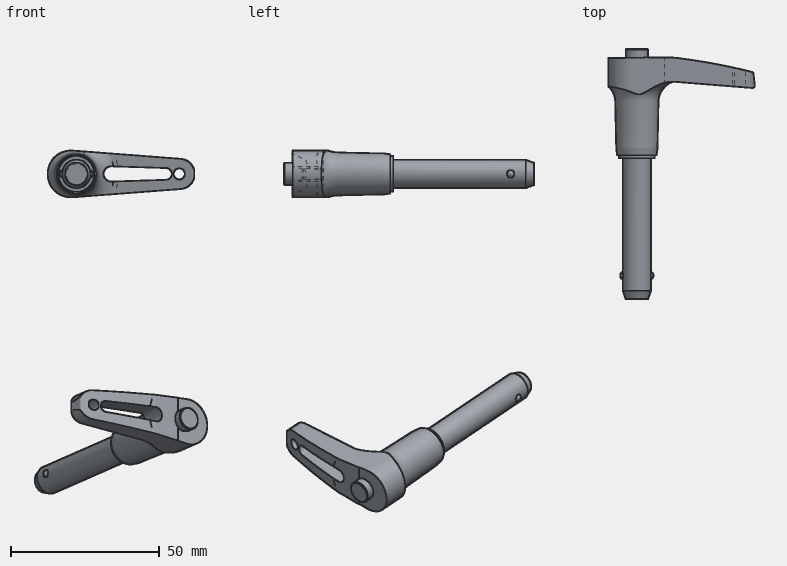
import cadquery as cq
import math

total_length = 84.2
shank_radius = 4.8
tip_radius = 3.8
tip_length = 2.9

collar_bottom = 47.3
collar_radius = 6.1
barrel_bottom = 48.3
barrel_bottom_radius = 6.65
barrel_shoulder = 50.7
barrel_shoulder_radius = 7.0
barrel_top = 66.4
barrel_top_radius = 7.3
flare_radius = 6.8

ball_radius = 1.35
ball_reach = 5.6
ball_height = 7.9

button_radius = 3.8
button_edge = 0.25

head_center_x = -1.8
head_radius = 7.9
arm_tip_x = 39.8
arm_tip_radius = 5.1
arm_tip_center_x = arm_tip_x - arm_tip_radius

head_top = 81.2
crown_start_x = 2.5
crown_top = 81.3
crown_end_x = 11.8
arm_top_end = 76.3
arm_top_end_x = 39.2
arm_top_bulge = 0.5
arm_bottom_end = 70.9
arm_bottom_slope = 0.08
arm_corner_radius = 0.8

slot_inner_x = 11.7
slot_inner_radius = 2.5
slot_outer_x = 30.15
slot_outer_radius = 1.9
hole_x = 34.6
hole_radius = 1.85


def tapered_bar(x_left, radius_left, x_right, radius_right):
    """Two circles joined by their common tangents, extruded along the whole pin axis."""
    lean = math.asin((radius_left - radius_right) / (x_right - x_left))
    tangent_x = math.sin(lean)
    tangent_z = math.cos(lean)
    return (
        cq.Workplane("XZ")
        .moveTo(x_left + radius_left * tangent_x, radius_left * tangent_z)
        .lineTo(x_right + radius_right * tangent_x, radius_right * tangent_z)
        .threePointArc(
            (x_right + radius_right, 0),
            (x_right + radius_right * tangent_x, -radius_right * tangent_z),
        )
        .lineTo(x_left + radius_left * tangent_x, -radius_left * tangent_z)
        .threePointArc(
            (x_left - radius_left, 0),
            (x_left + radius_left * tangent_x, radius_left * tangent_z),
        )
        .close()
        .extrude(-total_length)
    )


def make_pin():
    """Shank, collar and barrel turned about the Y axis."""
    return (
        cq.Workplane("XY")
        .polyline([
            (0, 0),
            (tip_radius, 0),
            (shank_radius, tip_length),
            (shank_radius, collar_bottom),
            (collar_radius, collar_bottom),
            (collar_radius, barrel_bottom),
            (barrel_bottom_radius, barrel_bottom),
            (barrel_shoulder_radius, barrel_shoulder),
            (barrel_top_radius, barrel_top),
            (0, barrel_top),
        ])
        .close()
        .revolve(360, (0, 0), (0, 1))
    )


def make_flare():
    """Concave quarter-round neck that spreads from the barrel into the handle."""
    diagonal = flare_radius * math.sqrt(0.5)
    outer_radius = barrel_top_radius + flare_radius
    flare_top = barrel_top + flare_radius
    return (
        cq.Workplane("XY")
        .moveTo(0, barrel_top)
        .lineTo(barrel_top_radius, barrel_top)
        .threePointArc(
            (outer_radius - diagonal, barrel_top + diagonal),
            (outer_radius, flare_top),
        )
        .lineTo(outer_radius, head_top)
        .lineTo(0, head_top)
        .close()
        .revolve(360, (0, 0), (0, 1))
    )


def make_arm():
    """Side profile of the arm: arched top, sloping underside, rounded end corners."""
    head_left = head_center_x - head_radius
    bottom_left = arm_bottom_end + arm_bottom_slope * (arm_tip_x - head_left)
    arch_middle = (
        (crown_end_x + arm_top_end_x) / 2,
        (crown_top + arm_top_end) / 2 + arm_top_bulge,
    )
    tip_corners = cq.selectors.BoxSelector(
        (arm_tip_center_x, 0, -head_radius),
        (arm_tip_x + arm_corner_radius, total_length, head_radius),
    )
    return (
        cq.Workplane("XY")
        .moveTo(head_left, bottom_left)
        .lineTo(head_left, head_top)
        .lineTo(crown_start_x, head_top)
        .lineTo(crown_start_x, crown_top)
        .lineTo(crown_end_x, crown_top)
        .threePointArc(arch_middle, (arm_top_end_x, arm_top_end))
        .lineTo(arm_tip_x, arm_bottom_end)
        .close()
        .extrude(head_radius, both=True)
        .edges("|Z")
        .edges(tip_corners)
        .fillet(arm_corner_radius)
    )


def make_handle():
    """Arm and neck trimmed to the tapered outline, with the slot and hole cut through."""
    outline = tapered_bar(head_center_x, head_radius, arm_tip_center_x, arm_tip_radius)
    slot = tapered_bar(slot_inner_x, slot_inner_radius, slot_outer_x, slot_outer_radius)
    hole = cq.Workplane("XZ").center(hole_x, 0).circle(hole_radius).extrude(-total_length)
    return make_arm().union(make_flare()).intersect(outline).cut(slot).cut(hole)


def make_button():
    """Release button rising from inside the head to the top of the part."""
    return (
        cq.Workplane("XZ", origin=(0, barrel_top, 0))
        .circle(button_radius)
        .extrude(barrel_top - total_length)
        .faces(">Y")
        .chamfer(button_edge)
    )


result = make_pin().union(make_handle()).union(make_button())

for side in (-1, 1):
    ball_x = side * (ball_reach - ball_radius)
    ball = cq.Workplane("XY").sphere(ball_radius).translate((ball_x, ball_height, 0))
    result = result.union(ball)